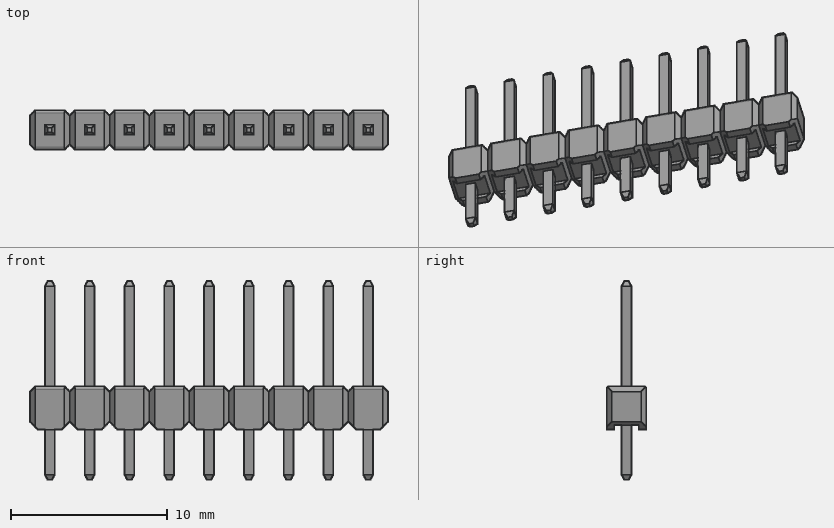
import cadquery as cq

row_length = 22.85
segment_count = 9
pitch = row_length / segment_count

block_width = pitch
block_depth = pitch
block_bottom = 3.22
block_top = 6.0
corner_chamfer = 0.35
lower_end_chamfer = 0.5
upper_side_radius = 0.18

channel_width = 1.55
channel_depth = 0.27

pin_size = 0.65
pin_length = 12.7
tip_height = 0.35
tip_inset = 0.18


def end_bevel_points():
    """Octagonal XZ outline of a block, bevelled at its top and bottom ends."""
    half_width = block_width / 2
    right_side = [
        (half_width - lower_end_chamfer, block_bottom),
        (half_width, block_bottom + lower_end_chamfer),
        (half_width, block_top - corner_chamfer),
        (half_width - corner_chamfer, block_top),
    ]
    left_side = [(-x, z) for x, z in reversed(right_side)]
    return right_side + left_side


def make_block():
    """Block centred on the Z axis, with bevelled edges and a channel below."""
    block = (
        cq.Workplane("XY")
        .workplane(offset=block_bottom)
        .rect(block_width, block_depth)
        .extrude(block_top - block_bottom)
    )
    bevelled_corners = block.edges("|Z").chamfer(corner_chamfer)
    rounded_sides = block.edges(">Z and |X").fillet(upper_side_radius)
    bevelled_ends = (
        cq.Workplane("XZ")
        .polyline(end_bevel_points())
        .close()
        .extrude(block_depth / 2, both=True)
    )
    block = bevelled_corners.intersect(rounded_sides).intersect(bevelled_ends)
    channel = (
        cq.Workplane("XY")
        .workplane(offset=block_bottom)
        .rect(block_width, channel_width)
        .extrude(channel_depth)
    )
    return block.cut(channel)


def make_pin():
    """Square pin along Z, tapered at both ends."""
    shaft = (
        cq.Workplane("XY")
        .workplane(offset=tip_height)
        .rect(pin_size, pin_size)
        .extrude(pin_length - 2 * tip_height)
    )
    for end_face in (">Z", "<Z"):
        tip = (
            shaft.faces(end_face)
            .workplane()
            .rect(pin_size, pin_size)
            .workplane(offset=tip_height)
            .rect(pin_size - 2 * tip_inset, pin_size - 2 * tip_inset)
            .loft(combine=False)
        )
        shaft = shaft.union(tip)
    return shaft


def make_segment():
    """One header segment: a block and the pin fixed in it form a single solid."""
    return make_block().union(make_pin())


segment = make_segment()
first_x = -(row_length - pitch) / 2
segments = [
    segment.translate((first_x + index * pitch, 0, 0)).val()
    for index in range(segment_count)
]

result = cq.Compound.makeCompound(segments)